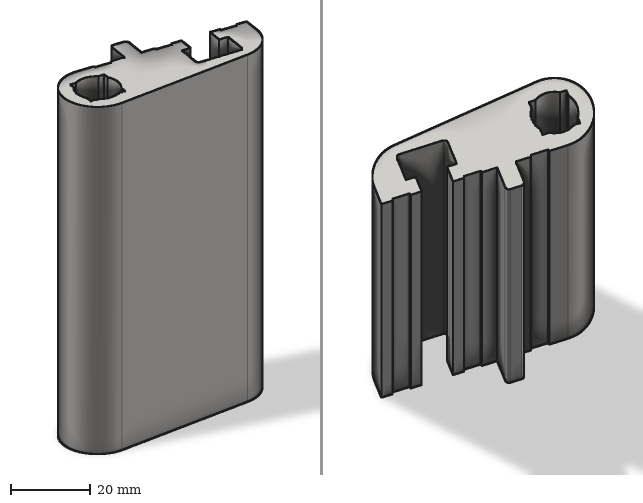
import cadquery as cq
import math

length = 100.0
end_radius = 10.0
left_face = -end_radius
top_y = 50.0
upper_arc_x = -5.0
upper_arc_y = top_y - end_radius

bore_radius = 6.0
bore_square = 10.0

slot_y = 35.0
slot_mouth_width = 8.4
slot_mouth_depth = 4.5
slot_cavity_width = 13.6
slot_floor_x = 2.0
slot_corner_radius = 1.0

tab_y = 16.5
tab_width = 5.0
tab_reach = 7.0
tab_corner_radius = 1.0

groove_depth = 0.5
groove_end_taper = 0.22
slot_pads_width = 14.2
tab_pads_width = 13.0
top_groove_end = 47.0
bottom_groove_end = 5.0


def box_between(x_min, x_max, y_min, y_max):
    """Full-length block between the given X and Y limits."""
    return cq.Workplane("XY").box(
        x_max - x_min, y_max - y_min, length, centered=False
    ).translate((x_min, y_min, 0))


def make_body():
    """Two equal end arcs joined by a flat left face and a sloping tangent on the right."""
    tilt = math.atan2(-upper_arc_x, upper_arc_y)

    def arc_point(center_x, center_y, angle):
        return (
            center_x + end_radius * math.cos(angle),
            center_y + end_radius * math.sin(angle),
        )

    upper_mid = arc_point(upper_arc_x, upper_arc_y, (tilt + math.pi / 2) / 2)
    upper_tangent = arc_point(upper_arc_x, upper_arc_y, tilt)
    lower_tangent = arc_point(0, 0, tilt)
    return (
        cq.Workplane("XY")
        .moveTo(left_face, 0)
        .lineTo(left_face, top_y)
        .lineTo(upper_arc_x, top_y)
        .threePointArc(upper_mid, upper_tangent)
        .lineTo(*lower_tangent)
        .threePointArc((0, -end_radius), (left_face, 0))
        .close()
        .extrude(length)
    )


def make_tab():
    """Locating rib with rounded outer edges."""
    return box_between(
        left_face - tab_reach, left_face, tab_y - tab_width / 2, tab_y + tab_width / 2
    ).edges("|Z and <X").fillet(tab_corner_radius)


def make_slot():
    """T-slot: a narrow mouth opening into a wider cavity."""
    lip_x = left_face + slot_mouth_depth
    mouth = box_between(
        left_face, slot_floor_x, slot_y - slot_mouth_width / 2, slot_y + slot_mouth_width / 2
    )
    cavity = box_between(
        lip_x, slot_floor_x, slot_y - slot_cavity_width / 2, slot_y + slot_cavity_width / 2
    ).edges("|Z and >X").fillet(slot_corner_radius)
    return mouth.union(cavity)


def make_bore():
    """Round bore overlapped by a square, so only the square's corners stand out."""
    square = cq.Workplane("XY").rect(bore_square, bore_square).extrude(length)
    return cq.Workplane("XY").circle(bore_radius).extrude(length).union(square)


def make_groove(y_min, y_max):
    """Trapezoidal groove, narrowing slightly toward its floor."""
    floor_x = left_face + groove_depth
    return (
        cq.Workplane("XY")
        .moveTo(left_face, y_min)
        .lineTo(floor_x, y_min + groove_end_taper)
        .lineTo(floor_x, y_max - groove_end_taper)
        .lineTo(left_face, y_max)
        .close()
        .extrude(length)
    )


groove_spans = [
    (slot_y + slot_pads_width / 2, top_groove_end),
    (tab_y + tab_pads_width / 2, slot_y - slot_pads_width / 2),
    (bottom_groove_end, tab_y - tab_pads_width / 2),
]

result = make_body().union(make_tab()).cut(make_slot()).cut(make_bore())
for groove_start, groove_end in groove_spans:
    result = result.cut(make_groove(groove_start, groove_end))